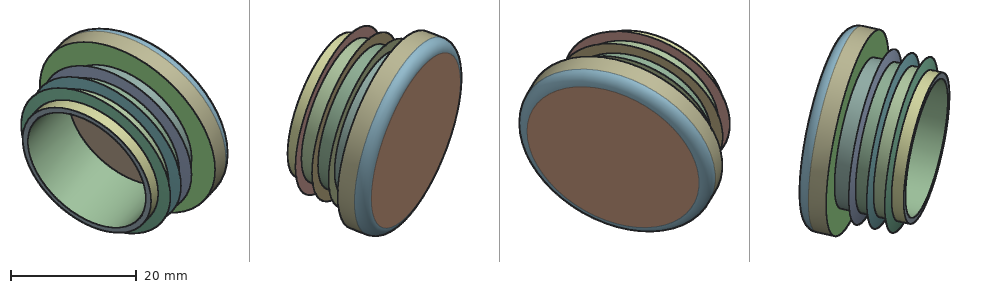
import cadquery as cq

cap_diameter = 33.7
cap_thickness = 5.0
cap_edge_radius = 2.0

total_length = 16.5
stem_length = total_length - cap_thickness
stem_diameter = 24.7
wall_thickness = 1.0
bore_diameter = stem_diameter - 2 * wall_thickness
bore_depth = stem_length

fin_count = 3
fin_diameter = 28.7
fin_thickness = 0.5
fin_pitch = 3.0

stem_radius = stem_diameter / 2
fin_radius = fin_diameter / 2


def cylinder_along_y(diameter, start_y, length):
    """Cylinder on the Y axis, reaching from start_y towards +Y."""
    base = cq.Workplane("XZ", origin=(0, start_y, 0))
    return base.circle(diameter / 2).extrude(-length)


def make_cap():
    """Disc with a rounded outer edge; its inner face lies at Y = 0."""
    disc = cylinder_along_y(cap_diameter, 0, cap_thickness)
    return disc.faces(">Y").edges().fillet(cap_edge_radius)


def make_fin(flat_y):
    """Sharp-edged ring: flat face at flat_y, tapered face on the open-end side."""
    taper_end_y = flat_y - fin_thickness
    profile = cq.Workplane("XY").polyline(
        [(0, flat_y), (fin_radius, flat_y), (stem_radius, taper_end_y), (0, taper_end_y)]
    )
    return profile.close().revolve(360, (0, 0, 0), (0, 1, 0))


plug = make_cap().union(cylinder_along_y(stem_diameter, -stem_length, stem_length))
for fin_number in range(1, fin_count + 1):
    plug = plug.union(make_fin(-fin_number * fin_pitch))

result = plug.cut(cylinder_along_y(bore_diameter, -stem_length, bore_depth))